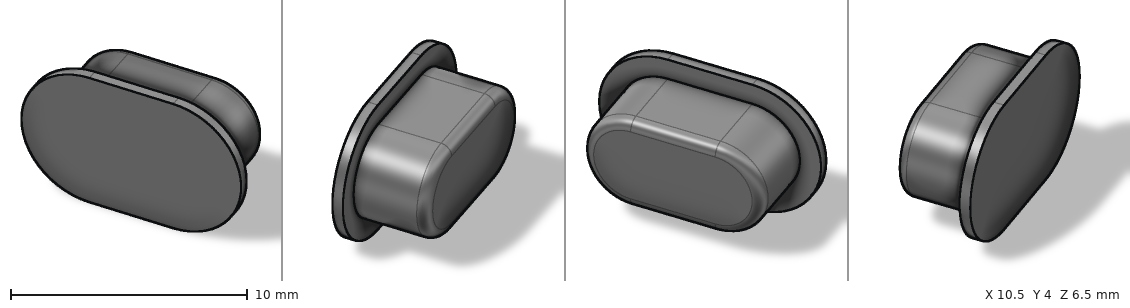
import cadquery as cq

flange_length = 10.5
flange_height = 6.5
flange_thickness = 0.5
total_depth = 4.0
flange_overhang = 1.0
end_rounding = 0.5

plug_length = flange_length - 2 * flange_overhang
plug_height = flange_height - 2 * flange_overhang


def stadium_prism(length, height, depth):
    """Round-ended prism standing on the XZ plane and reaching to +Y."""
    return cq.Workplane("XZ").slot2D(length, height).extrude(-depth)


flange = stadium_prism(flange_length, flange_height, flange_thickness)

plug = stadium_prism(plug_length, plug_height, total_depth)
plug = plug.faces(">Y").edges().fillet(end_rounding)

result = flange.union(plug)